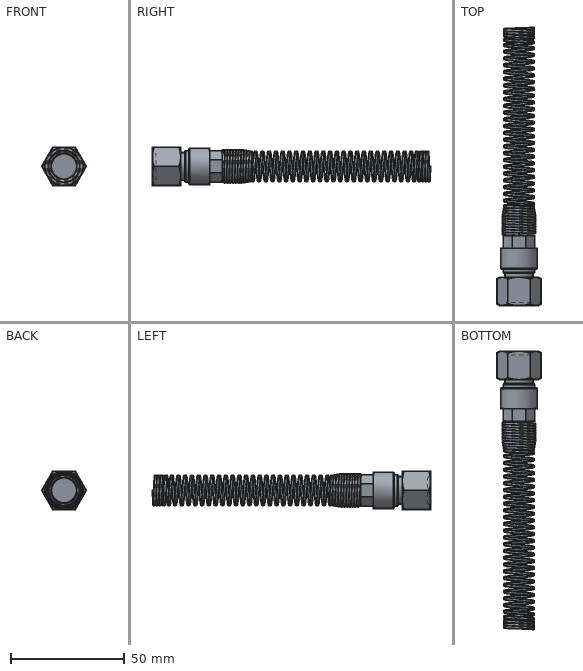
import cadquery as cq
import math


overall_length = 123.0
hex_sides = 6
hex_across_flats = 17.0
hex_length = 12.5
hex_chamfer_angle = 30.0
bore_mouth_diameter = 14.0
bore_floor_diameter = 11.3
bore_depth = 1.5
neck_diameter = 12.5
neck_end = 14.3
collar_diameter = 14.0
collar_end = 16.1
collar_chamfer = 0.5

sleeve_diameter = 16.2
sleeve_end = 25.3
sleeve_chamfer = 0.5
octagon_sides = 8
octagon_across_flats = 14.0
octagon_end = 30.9
spigot_end = 39.4

wire_diameter = 1.19
close_pitch = 1.2
spring_gap = 0.02
grip_outer_diameter = 14.8
open_outer_diameter = 13.5
spring_start = octagon_end + wire_diameter / 2 + spring_gap
spring_end = overall_length - wire_diameter / 2
start_angle = 90.0
points_per_turn = 8
joint_turn = 0.6

grip_turns = 7.0
close_turns = 10.0
opened_turns = 11.0
closing_turns = 33.5
closed_turns = 37.0
total_turns = 38.75

grip_radius = (grip_outer_diameter - wire_diameter) / 2
open_radius = (open_outer_diameter - wire_diameter) / 2
spigot_diameter = grip_outer_diameter - 2 * wire_diameter - 2 * spring_gap

ramp_turns = (opened_turns - close_turns) + (closed_turns - closing_turns)
open_turns = closing_turns - opened_turns + ramp_turns / 2
extra_length = spring_end - spring_start - close_pitch * total_turns
open_pitch = close_pitch + extra_length / open_turns


def cylinder(diameter, start, end):
    """Round bar along Y between two stations."""
    return cq.Workplane("XZ", origin=(0, start, 0)).circle(diameter / 2).extrude(start - end)


def across_corners(across_flats, sides):
    """Corner-to-corner size of a regular polygon with an even number of sides."""
    return across_flats / math.cos(math.pi / sides)


def ramp_integral(turn, start, end):
    """Integral of a step that rises linearly from 0 to 1 between two turn counts."""
    if turn <= start:
        return 0.0
    if turn <= end:
        return (turn - start) ** 2 / (2 * (end - start))
    return turn - (start + end) / 2


def coil_point(turn):
    """Centre of the wire after a number of left-handed turns."""
    opening = ramp_integral(turn, close_turns, opened_turns)
    closing = ramp_integral(turn, closing_turns, closed_turns)
    y = spring_start + close_pitch * turn + (open_pitch - close_pitch) * (opening - closing)
    taper = min(max((turn - grip_turns) / (close_turns - grip_turns), 0.0), 1.0)
    radius = grip_radius + (open_radius - grip_radius) * taper
    angle = math.radians(start_angle) + 2 * math.pi * turn
    return cq.Vector(radius * math.cos(angle), y, radius * math.sin(angle))


def make_fitting():
    corners = across_corners(hex_across_flats, hex_sides)
    hexagon = cq.Workplane("XZ").polygon(hex_sides, corners).extrude(-hex_length)
    bevel_width = (corners - hex_across_flats) / 2
    bevel_height = bevel_width * math.tan(math.radians(hex_chamfer_angle))
    blank = cylinder(corners, 0, hex_length).edges().chamfer(bevel_height, bevel_width)
    hexagon = hexagon.intersect(blank)
    bore = (
        cq.Workplane("XY")
        .polyline([
            (0, 0),
            (bore_mouth_diameter / 2, 0),
            (bore_floor_diameter / 2, bore_depth),
            (0, bore_depth),
        ])
        .close()
        .revolve(360, (0, 0, 0), (0, 1, 0))
    )
    neck = cylinder(neck_diameter, hex_length, neck_end)
    collar = cylinder(collar_diameter, neck_end, collar_end).faces("<Y").chamfer(collar_chamfer)
    return hexagon.cut(bore).union(neck).union(collar)


def make_sleeve_nut():
    sleeve = cylinder(sleeve_diameter, collar_end, sleeve_end).faces("<Y").chamfer(sleeve_chamfer)
    octagon = (
        cq.Workplane("XZ", origin=(0, sleeve_end, 0))
        .transformed(rotate=(0, 0, 180 / octagon_sides))
        .polygon(octagon_sides, across_corners(octagon_across_flats, octagon_sides))
        .extrude(sleeve_end - octagon_end)
    )
    spigot = cylinder(spigot_diameter, octagon_end, spigot_end)
    return sleeve.union(octagon).union(spigot)


def make_spring():
    steps = round(total_turns * points_per_turn)
    turns = [total_turns * i / steps for i in range(steps + 1)]
    curve = cq.Edge.makeSpline([coil_point(turn) for turn in turns], parameters=turns)
    breaks = [0, *(turn + joint_turn for turn in range(int(total_turns))), total_turns]
    path = cq.Wire.assembleEdges([curve.trim(start, end) for start, end in zip(breaks, breaks[1:])])
    profile = cq.Workplane(cq.Plane(origin=curve.startPoint(), xDir=(0, 0, 1), normal=curve.tangentAt(0)))
    return profile.circle(wire_diameter / 2).sweep(cq.Workplane(path), isFrenet=True)


fitting = make_fitting()
sleeve_nut = make_sleeve_nut()
spring = make_spring()

result = cq.Compound.makeCompound([fitting.val(), sleeve_nut.val(), spring.val()])